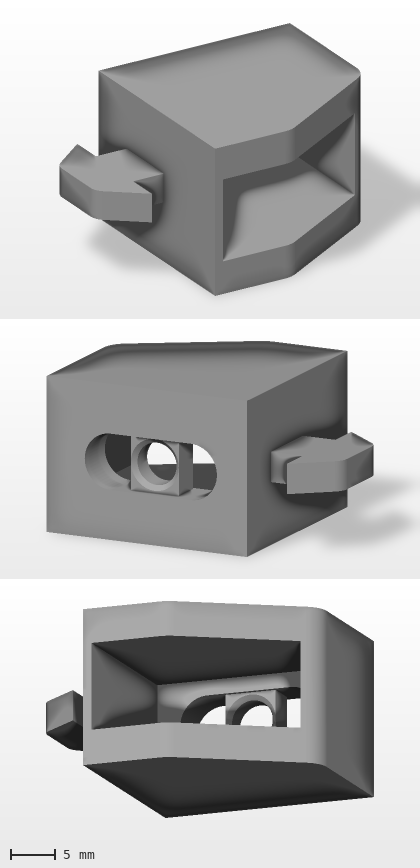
import cadquery as cq

BLOCK_LENGTH_X = 25.0
BLOCK_LENGTH_Y = 25.0
BLOCK_HEIGHT = 18.0
BACK_EDGE_LENGTH = 16.0
RIGHT_EDGE_LENGTH = 10.0
SLANT_FILLET = 3.0

TAB_CENTER_X = 10.0
TAB_THICKNESS = 3.5
NECK_WIDTH = 8.0
NECK_LENGTH = 4.0
BARB_WIDTH = 16.0
BARB_LENGTH = 5.0
TIP_WIDTH = 8.0
TIP_FILLET = 2.0

WALL_THICKNESS = 5.0
SLOT_CENTER_Y = 12.0
SLOT_LENGTH = 16.5
SLOT_WIDTH = 6.5

BRIDGE_WIDTH = 6.0
BRIDGE_RECESS = 1.0
BRIDGE_THICKNESS = 3.5
HOLE_DIAMETER = 4.88
HOLE_CHAMFER = 0.55

POCKET_LENGTH = 22.0
POCKET_HEIGHT = 10.0

MID_Z = BLOCK_HEIGHT / 2


def make_block():
    """Prism with one slanted corner, rounded at both ends of the slant."""
    outline = [
        (0, 0),
        (BLOCK_LENGTH_X, 0),
        (BLOCK_LENGTH_X, RIGHT_EDGE_LENGTH),
        (BACK_EDGE_LENGTH, BLOCK_LENGTH_Y),
        (0, BLOCK_LENGTH_Y),
    ]
    block = cq.Workplane("XY").polyline(outline).close().extrude(BLOCK_HEIGHT)
    return block.faces(">XY").edges("|Z").fillet(SLANT_FILLET)


def make_tab():
    """Neck and barb, with the two tip corners rounded."""
    shoulder_y = -NECK_LENGTH
    tip_y = shoulder_y - BARB_LENGTH
    outline = [
        (-NECK_WIDTH / 2, 0),
        (-NECK_WIDTH / 2, shoulder_y),
        (-BARB_WIDTH / 2, shoulder_y),
        (-TIP_WIDTH / 2, tip_y),
        (TIP_WIDTH / 2, tip_y),
        (BARB_WIDTH / 2, shoulder_y),
        (NECK_WIDTH / 2, shoulder_y),
        (NECK_WIDTH / 2, 0),
    ]
    base = cq.Workplane("XY", origin=(TAB_CENTER_X, 0, MID_Z - TAB_THICKNESS / 2))
    tab = base.polyline(outline).close().extrude(TAB_THICKNESS)
    return tab.faces("<Y").edges("|Z").fillet(TIP_FILLET)


def slot_plane(x):
    """Workplane facing +X, centred on the slot axis at the given x."""
    return cq.Workplane("YZ", origin=(x, SLOT_CENTER_Y, MID_Z))


def make_slot():
    """Obround cutter through the slotted wall."""
    return slot_plane(0).slot2D(SLOT_LENGTH, SLOT_WIDTH).extrude(WALL_THICKNESS)


def make_pocket():
    """Cutter for the pocket behind the slotted wall, open at the slant and the +X face."""
    depth = BLOCK_LENGTH_X - WALL_THICKNESS
    return slot_plane(WALL_THICKNESS).rect(POCKET_LENGTH, POCKET_HEIGHT).extrude(depth)


def make_bridge():
    """Bar filling the middle of the slot, with a through hole chamfered at both ends."""
    bar = slot_plane(BRIDGE_RECESS).rect(BRIDGE_WIDTH, SLOT_WIDTH).extrude(BRIDGE_THICKNESS)
    bored = bar.faces(">X").workplane(centerOption="CenterOfBoundBox").hole(HOLE_DIAMETER)
    return bored.edges("%CIRCLE").chamfer(HOLE_CHAMFER)


body = make_block().union(make_tab())
result = body.cut(make_slot()).cut(make_pocket()).union(make_bridge())